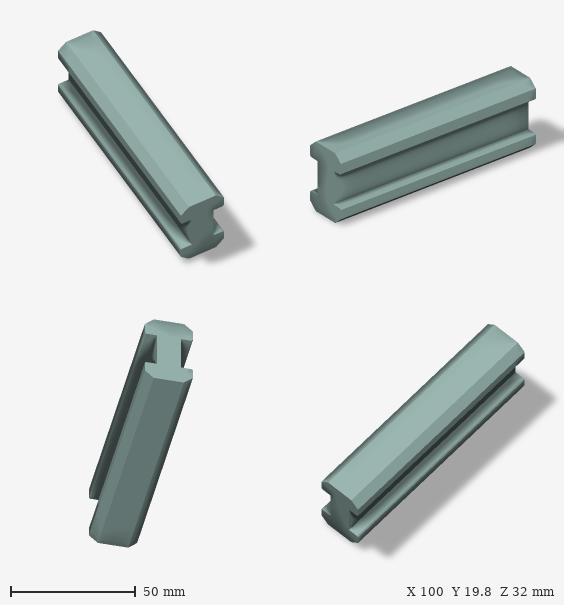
import cadquery as cq

length = 100.0
width = 19.8
height = 32.0

web_thickness = 10.0
bottom_flange_height = 8.0
top_flange_height = 8.5
crown_width = 12.5
bevel_height = 3.3
lip_chamfer = 0.5

half_width = width / 2
half_height = height / 2
half_web = web_thickness / 2
half_crown = crown_width / 2


def flange_outline(flange_height):
    """Return the +Y half of the top flange in (Y, Z), from the web to the crown."""
    inner_face = half_height - flange_height
    return [
        (half_web, inner_face),
        (half_width - lip_chamfer, inner_face),
        (half_width, inner_face + lip_chamfer),
        (half_width, half_height - bevel_height),
        (half_crown, half_height),
    ]


top_flange = flange_outline(top_flange_height)
bottom_flange = [(y, -z) for y, z in reversed(flange_outline(bottom_flange_height))]

positive_side = bottom_flange + top_flange
negative_side = [(-y, z) for y, z in reversed(positive_side)]

result = (
    cq.Workplane("YZ")
    .polyline(positive_side + negative_side)
    .close()
    .extrude(length / 2, both=True)
)